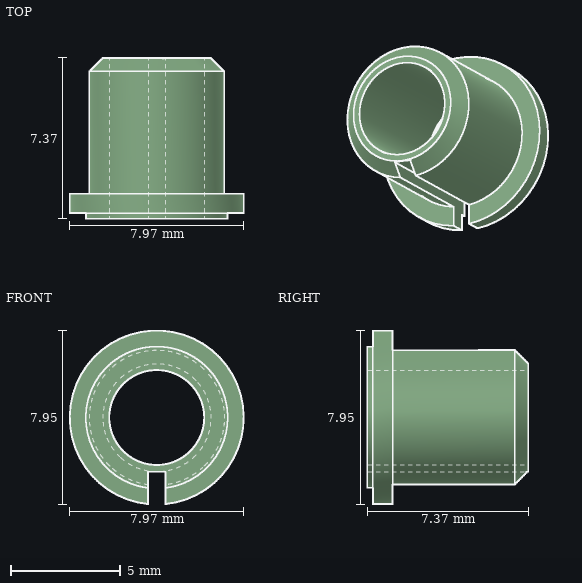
import cadquery as cq

total_length = 7.37
flange_diameter = 7.97
flange_thickness = 0.9
front_rim_diameter = 6.495
front_rim_height = 0.26
sleeve_diameter = 6.185
bore_diameter = 4.335
end_chamfer = 0.62
slot_width = 0.78
slot_floor_radius = 2.49

flange_back = front_rim_height + flange_thickness


def ring_body():
    """Revolve the half section, drawn as (radius, Y), around the Y axis."""
    bore_radius = bore_diameter / 2
    rim_radius = front_rim_diameter / 2
    flange_radius = flange_diameter / 2
    sleeve_radius = sleeve_diameter / 2
    section = [
        (bore_radius, 0),
        (rim_radius, 0),
        (rim_radius, front_rim_height),
        (flange_radius, front_rim_height),
        (flange_radius, flange_back),
        (sleeve_radius, flange_back),
        (sleeve_radius, total_length - end_chamfer),
        (sleeve_radius - end_chamfer, total_length),
        (bore_radius, total_length),
    ]
    return cq.Workplane("XY").polyline(section).close().revolve(360, (0, 0), (0, 1))


def key_slot():
    """Straight slot along the full length, open at the bottom (-Z)."""
    slot_height = flange_diameter / 2
    return (
        cq.Workplane("XY")
        .box(slot_width, total_length, slot_height, centered=(True, False, False))
        .translate((0, 0, -slot_floor_radius - slot_height))
    )


result = ring_body().cut(key_slot())